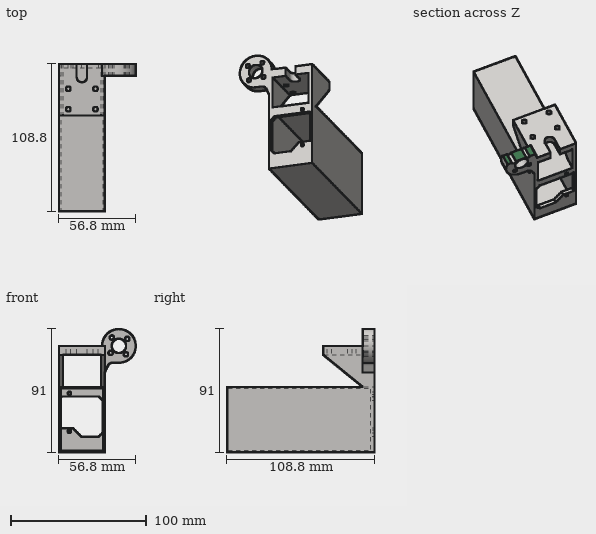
import cadquery as cq
import math

width = 34.0
length = 108.8
tube_height = 48.2
side_wall = 1.5
floor_wall = 1.2
end_plate = 3.0

total_height = 91.0
ring_radius = 12.5
plate_top = total_height - ring_radius
plate_thickness = 6.6
plate_bottom = plate_top - plate_thickness
plate_depth = 38.0
cheek_thickness = 3.0
cheek_root = 8.9

slot_width = 7.6
slot_straight = 9.8
plate_hole_diameter = 3.5
plate_hole_spacing_x = 20.0
plate_hole_spacing_y = 15.0
plate_hole_center_y = -25.9

total_width = 56.8
ring_x = total_width - ring_radius
ring_thickness = 8.9
ring_bore_diameter = 10.4
ring_hole_diameter = 3.0
ring_hole_circle_radius = 8.0
ring_hole_angle = 40.0
web_drop = 7.0
web_slope_run = 3.4
web_fillet = 3.5

opening_left = 1.7
opening_right = 32.2
opening_top = 41.0
opening_bottom = 11.5
opening_step = 17.7
opening_step_x = 10.4
opening_chamfer = 2.8
opening_left_chamfer = 0.3
end_hole_diameter = 2.2
end_hole_x = 7.7
end_hole_heights = (15.5, 43.5)


def box(x0, x1, y0, y1, z0, z1):
    """Box between opposite corners."""
    return cq.Workplane("XY").box(x1 - x0, y1 - y0, z1 - z0, centered=False).translate((x0, y0, z0))


def make_tube():
    outer = box(0, width, -length, 0, 0, tube_height)
    cavity = box(side_wall, width - side_wall, -length, -end_plate, floor_wall, tube_height - floor_wall)
    return outer.cut(cavity)


def make_mount():
    """Mounting plate and cheeks, cut from one tapered side profile."""
    profile = [
        (0, tube_height),
        (-cheek_root, tube_height),
        (-plate_depth, plate_bottom),
        (-plate_depth, plate_top),
        (0, plate_top),
    ]
    block = cq.Workplane("YZ").polyline(profile).close().extrude(width)
    gap = box(cheek_thickness, width - cheek_thickness, -plate_depth, 0, tube_height, plate_bottom)
    return block.cut(gap)


def make_mount_cuts():
    center_x = width / 2
    slot = box(center_x - slot_width / 2, center_x + slot_width / 2, -slot_straight, 0, plate_bottom, plate_top)
    slot_end = (
        cq.Workplane("XY", origin=(center_x, -slot_straight, plate_bottom))
        .circle(slot_width / 2)
        .extrude(plate_thickness)
    )
    holes = (
        cq.Workplane("XY", origin=(center_x, plate_hole_center_y, plate_bottom))
        .rarray(plate_hole_spacing_x, plate_hole_spacing_y, 2, 2)
        .circle(plate_hole_diameter / 2)
        .extrude(plate_thickness)
    )
    return slot.union(slot_end).union(holes)


def make_ring():
    """Disc with a web whose lower edge runs down to the side of the mount."""
    disc = cq.Workplane("XZ").center(ring_x, plate_top).circle(ring_radius).extrude(ring_thickness)
    web_x = width - cheek_thickness
    web_z = plate_top - ring_radius
    slope = math.atan2(web_drop, web_slope_run)
    tangent = web_fillet * math.tan(slope / 2)
    corner_x = width + web_slope_run
    middle_x = corner_x + tangent - web_fillet * math.sin(slope / 2)
    middle_z = web_z - web_fillet * (1 - math.cos(slope / 2))
    web = (
        cq.Workplane("XZ")
        .moveTo(web_x, plate_top)
        .lineTo(ring_x, plate_top)
        .lineTo(ring_x, web_z)
        .lineTo(corner_x + tangent, web_z)
        .threePointArc(
            (middle_x, middle_z),
            (corner_x - tangent * math.cos(slope), web_z - tangent * math.sin(slope)),
        )
        .lineTo(width, web_z - web_drop)
        .lineTo(web_x, web_z - web_drop)
        .close()
        .extrude(ring_thickness)
    )
    return disc.union(web)


def make_ring_holes():
    plane = cq.Workplane("XZ").center(ring_x, plate_top)
    bore = plane.circle(ring_bore_diameter / 2).extrude(ring_thickness)
    holes = (
        plane.polarArray(ring_hole_circle_radius, ring_hole_angle, 360, 4)
        .circle(ring_hole_diameter / 2)
        .extrude(ring_thickness)
    )
    return bore.union(holes)


def make_end_cuts():
    """Irregular window and two screw holes through the end plate."""
    window = [
        (opening_left, opening_step + opening_left_chamfer),
        (opening_left + opening_left_chamfer, opening_step),
        (opening_step_x, opening_step),
        (opening_step_x + opening_step - opening_bottom, opening_bottom),
        (opening_right - opening_chamfer, opening_bottom),
        (opening_right, opening_bottom + opening_chamfer),
        (opening_right, opening_top - opening_chamfer),
        (opening_right - opening_chamfer, opening_top),
        (opening_left + opening_left_chamfer, opening_top),
        (opening_left, opening_top - opening_left_chamfer),
    ]
    opening = cq.Workplane("XZ").polyline(window).close().extrude(end_plate)
    holes = (
        cq.Workplane("XZ")
        .pushPoints([(end_hole_x, z) for z in end_hole_heights])
        .circle(end_hole_diameter / 2)
        .extrude(end_plate)
    )
    return opening.union(holes)


result = (
    make_tube()
    .union(make_mount())
    .union(make_ring())
    .cut(make_mount_cuts())
    .cut(make_ring_holes())
    .cut(make_end_cuts())
)